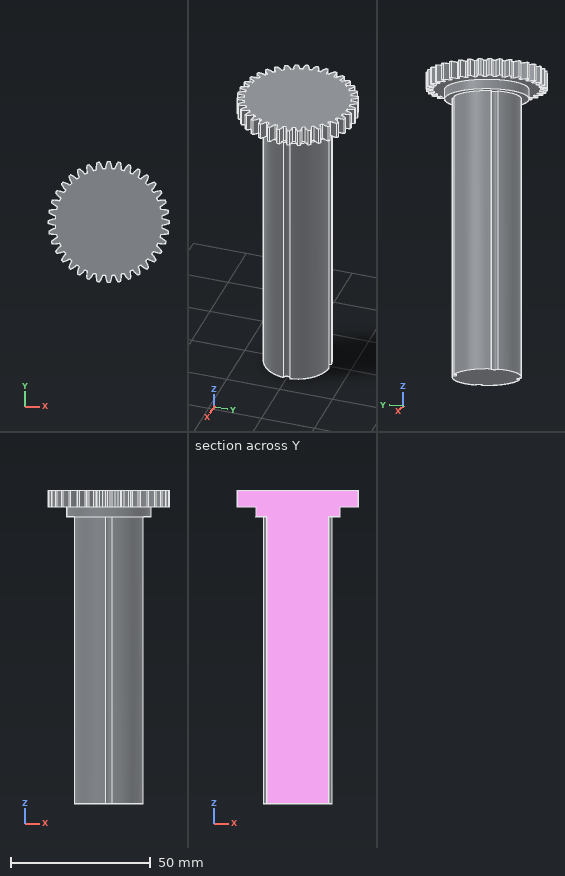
import cadquery as cq
import math

total_length = 112.0
gear_thickness = 6.0
collar_thickness = 3.5
shaft_length = total_length - gear_thickness - collar_thickness

shaft_diameter = 24.8
collar_diameter = 30.2

tooth_count = 36
tip_diameter = 43.3
tip_radius = tip_diameter / 2
middle_radius = 20.2
root_radius = 19.2
tip_width = 0.9
middle_width = 2.0
root_width = 2.4

groove_count = 4
groove_radius = 1.2


def point_at(radius, angle):
    """Point in the XY plane at a radius and an angle in radians."""
    return (radius * math.cos(angle), radius * math.sin(angle))


def half_angle(width, radius):
    """Half the angle that a tooth of this width takes up at a radius."""
    return math.asin(width / 2 / radius)


def make_gear():
    """Spur gear with one tooth centred on +X and bulging tooth flanks."""
    pitch_angle = 2 * math.pi / tooth_count
    root_half = half_angle(root_width, root_radius)
    middle_half = half_angle(middle_width, middle_radius)
    tip_half = half_angle(tip_width, tip_radius)

    outline = cq.Workplane("XY").workplane(offset=total_length - gear_thickness)
    outline = outline.moveTo(*point_at(root_radius, -root_half))
    for tooth in range(tooth_count):
        centre = tooth * pitch_angle
        next_centre = centre + pitch_angle
        outline = outline.threePointArc(
            point_at(middle_radius, centre - middle_half), point_at(tip_radius, centre - tip_half)
        )
        outline = outline.threePointArc(
            point_at(tip_radius, centre), point_at(tip_radius, centre + tip_half)
        )
        outline = outline.threePointArc(
            point_at(middle_radius, centre + middle_half), point_at(root_radius, centre + root_half)
        )
        outline = outline.threePointArc(
            point_at(root_radius, centre + pitch_angle / 2),
            point_at(root_radius, next_centre - root_half),
        )
    return outline.close().extrude(gear_thickness)


def make_collar():
    """Plain round shoulder between the shaft and the gear."""
    collar = cq.Workplane("XY").workplane(offset=shaft_length)
    return collar.circle(collar_diameter / 2).extrude(collar_thickness)


def make_shaft():
    """Round shaft with half-round grooves along its full length."""
    shaft = cq.Workplane("XY").circle(shaft_diameter / 2).extrude(shaft_length)
    grooves = (
        cq.Workplane("XY")
        .polarArray(shaft_diameter / 2, 0, 360, groove_count)
        .circle(groove_radius)
        .extrude(shaft_length)
    )
    return shaft.cut(grooves)


result = make_shaft().union(make_collar()).union(make_gear())